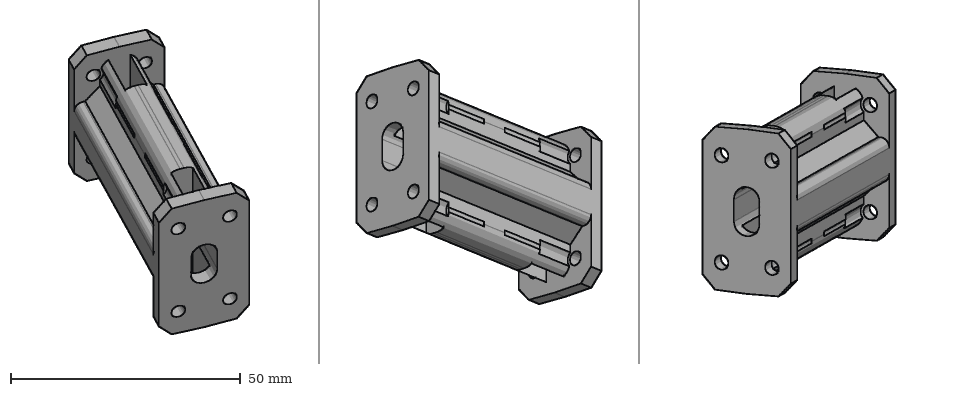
import cadquery as cq
import math

length = 57.0
width = 21.0
height = 37.0
flange_thickness = 3.5
flange_shoulder_half_width = 7.5
flange_shoulder_height = 18.3
flange_corner_height = 15.1

body_length = length - 2 * flange_thickness
neck_half_width = 4.5
neck_half_height = 16.0
neck_round = 4.05
slope_start_height = 8.5
rib_half_height = 5.1
rib_round = 2.1

slot_width = 6.05
slot_height = 11.0

window_width = 5.1
window_inner_x = 14.5

hole_diameter = 3.2
hole_y = 6.0
hole_z = 12.0
hole_inner_x = 3.4
head_diameter = 4.55
head_inner_x = 15.05


def flange():
    half_width = width / 2
    corner = [
        (half_width, flange_corner_height),
        (flange_shoulder_half_width, flange_shoulder_height),
    ]
    upper = corner + [(0, height / 2)] + [(-y, z) for y, z in reversed(corner)]
    lower = [(-y, -z) for y, z in upper]
    return cq.Workplane("YZ").polyline(upper + lower).close().extrude(flange_thickness)


def body_quarter():
    """Quarter of the body section on the +Y, +Z side, extruded along the body."""
    diagonal = math.sqrt(0.5)
    half_width = width / 2
    neck_center = (neck_half_width - neck_round, neck_half_height - neck_round)
    rib_center = (half_width - rib_round, rib_half_height - rib_round)
    slope_end_y = neck_half_width + slope_start_height - rib_half_height

    def arc_middle(center, radius):
        return (center[0] + radius * diagonal, center[1] + radius * diagonal)

    return (
        cq.Workplane("YZ", origin=(-body_length / 2, 0, 0))
        .lineTo(0, neck_half_height)
        .lineTo(neck_center[0], neck_half_height)
        .threePointArc(arc_middle(neck_center, neck_round), (neck_half_width, neck_center[1]))
        .lineTo(neck_half_width, slope_start_height)
        .lineTo(slope_end_y, rib_half_height)
        .lineTo(rib_center[0], rib_half_height)
        .threePointArc(arc_middle(rib_center, rib_round), (half_width, rib_center[1]))
        .lineTo(half_width, 0)
        .close()
        .extrude(body_length)
    )


def body():
    half = body_quarter()
    half = half.union(half.mirror("XZ"))
    return half.union(half.mirror("XY"))


def bolt_cylinders(diameter, start_x, end_x):
    """Four cylinders on the bolt pattern, running along X."""
    return (
        cq.Workplane("YZ", origin=(start_x, 0, 0))
        .rect(2 * hole_y, 2 * hole_z, forConstruction=True)
        .vertices()
        .circle(diameter / 2)
        .extrude(end_x - start_x)
    )


def end_cuts():
    """Window, bolt holes and bolt head clearances at the +X end."""
    flange_inner_x = body_length / 2
    window_length = flange_inner_x - window_inner_x
    window = cq.Workplane("XY").box(window_length, window_width, height)
    window = window.translate((window_inner_x + window_length / 2, 0, 0))
    return [
        window,
        bolt_cylinders(hole_diameter, hole_inner_x, length / 2),
        bolt_cylinders(head_diameter, head_inner_x, flange_inner_x),
    ]


right_flange = flange().translate((body_length / 2, 0, 0))
result = body().union(right_flange).union(right_flange.mirror("YZ")).clean()

for cutter in end_cuts():
    result = result.cut(cutter).cut(cutter.mirror("YZ"))

slot = cq.Workplane("YZ").slot2D(slot_height, slot_width, 90).extrude(length / 2, both=True)
result = result.cut(slot)